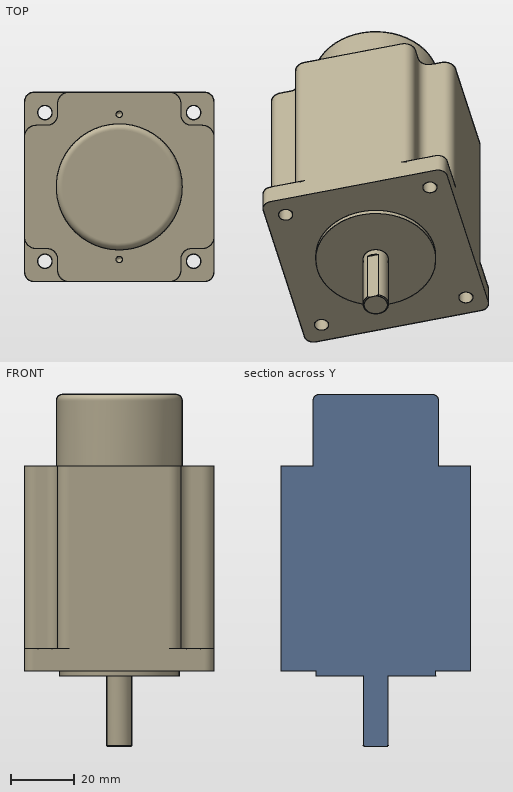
import cadquery as cq
import math

total_height = 111.6
shaft_length = 22.3
pilot_height = 1.6
plate_height = 7.1
cap_height = 22.7
body_height = total_height - shaft_length - pilot_height - plate_height - cap_height

plate_top = plate_height
body_top = plate_top + body_height
pilot_bottom = -pilot_height
shaft_tip = pilot_bottom - shaft_length

width = 60.0
half_width = width / 2
plate_corner_radius = 3.0
mount_hole_diameter = 4.5
mount_hole_spacing = 47.1

relief_depth = 10.5
relief_inner_radius = 3.3
relief_outer_radius = 3.7

cap_diameter = 40.0
cap_edge_radius = 2.0
pilot_diameter = 38.0
shaft_diameter = 8.0
shaft_tip_chamfer = 0.3
flat_depth = 0.5
flat_start = 2.2

rear_hole_diameter = 2.0
rear_hole_depth = 4.0
rear_hole_offset = 23.0
drill_point_angle = 118


def make_plate():
    plate = cq.Workplane("XY").rect(width, width).extrude(plate_height)
    plate = plate.edges("|Z").fillet(plate_corner_radius)
    holes = (
        cq.Workplane("XY")
        .rect(mount_hole_spacing, mount_hole_spacing, forConstruction=True)
        .vertices()
        .circle(mount_hole_diameter / 2)
        .extrude(plate_height)
    )
    return plate.cut(holes)


def make_corner_relief():
    """Notch cutter for the +X +Y corner: rounded root, walls flaring into the sides."""
    wall = half_width - relief_depth
    root = wall + relief_inner_radius
    flare = half_width - relief_outer_radius
    flare_end = wall - relief_outer_radius
    return (
        cq.Workplane("XY")
        .workplane(offset=plate_top)
        .moveTo(half_width, half_width)
        .lineTo(flare_end, half_width)
        .radiusArc((wall, flare), relief_outer_radius)
        .lineTo(wall, root)
        .radiusArc((root, wall), -relief_inner_radius)
        .lineTo(flare, wall)
        .radiusArc((half_width, flare_end), relief_outer_radius)
        .close()
        .extrude(body_height)
    )


def make_rear_hole(y):
    """Blind drilled hole with a conical bottom."""
    radius = rear_hole_diameter / 2
    point_length = radius / math.tan(math.radians(drill_point_angle / 2))
    return (
        cq.Workplane("XZ", origin=(0, y, body_top))
        .polyline([
            (0, 0),
            (radius, 0),
            (radius, -rear_hole_depth),
            (0, -rear_hole_depth - point_length),
        ])
        .close()
        .revolve(360, (0, 0, 0), (0, 1, 0))
    )


def make_body():
    """Square column with a notch along each vertical corner and two holes in its rear face."""
    body = cq.Workplane("XY").workplane(offset=plate_top).rect(width, width).extrude(body_height)
    relief = make_corner_relief()
    for angle in (0, 90, 180, 270):
        body = body.cut(relief.rotate((0, 0, 0), (0, 0, 1), angle))
    for y in (-rear_hole_offset, rear_hole_offset):
        body = body.cut(make_rear_hole(y))
    return body


def make_cap():
    cap = cq.Workplane("XY").workplane(offset=body_top).circle(cap_diameter / 2).extrude(cap_height)
    return cap.faces(">Z").edges().fillet(cap_edge_radius)


def make_pilot():
    return cq.Workplane("XY").circle(pilot_diameter / 2).extrude(pilot_bottom)


def make_shaft():
    """Output shaft with a flat on its +Y side."""
    shaft = cq.Workplane("XY").workplane(offset=shaft_tip).circle(shaft_diameter / 2).extrude(shaft_length)
    shaft = shaft.faces("<Z").edges().chamfer(shaft_tip_chamfer)
    flat_cutter = (
        cq.Workplane("XY")
        .workplane(offset=shaft_tip)
        .center(0, shaft_diameter - flat_depth)
        .rect(shaft_diameter, shaft_diameter)
        .extrude(shaft_length - flat_start)
    )
    return shaft.cut(flat_cutter)


result = make_plate().union(make_body()).union(make_cap()).union(make_pilot()).union(make_shaft())